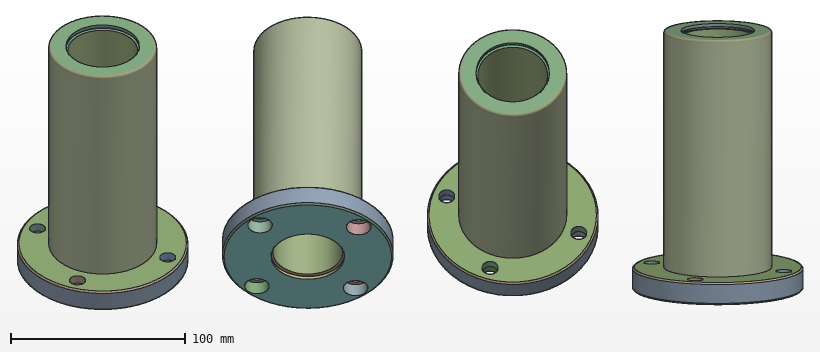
import cadquery as cq

total_height = 151.0
flange_diameter = 98.0
flange_thickness = 13.0
flange_chamfer = 1.0
tube_diameter = 62.0
tube_fillet = 1.5

bore_diameter = 40.0
lip_diameter = 42.0
lip_length = 2.0
groove_diameter = 44.0
groove_width = 1.0

hole_diameter = 9.0
hole_circle_diameter = 80.0
hole_count = 4
counterbore_diameter = 14.0
counterbore_depth = 8.0


def cylinder(diameter, bottom, height):
    """Cylinder on the Z axis, starting at the given height."""
    return cq.Workplane("XY").workplane(offset=bottom).circle(diameter / 2).extrude(height)


def hole_pattern(diameter, depth):
    """Ring of cylinders rising from the underside, on the X and Y axes."""
    return (
        cq.Workplane("XY")
        .polarArray(hole_circle_diameter / 2, 0, 360, hole_count)
        .circle(diameter / 2)
        .extrude(depth)
    )


flange = cylinder(flange_diameter, 0, flange_thickness).edges("%CIRCLE").chamfer(flange_chamfer)
tube = cylinder(tube_diameter, 0, total_height).edges(">Z").fillet(tube_fillet)
body = flange.union(tube)

body = body.cut(cylinder(bore_diameter, 0, total_height))

lower_lip = cylinder(lip_diameter, 0, lip_length)
lower_groove = cylinder(groove_diameter, lip_length, groove_width)
for lower_cut in (lower_lip, lower_groove):
    upper_cut = lower_cut.mirror("XY", (0, 0, total_height / 2))
    body = body.cut(lower_cut).cut(upper_cut)

body = body.cut(hole_pattern(hole_diameter, flange_thickness))
body = body.cut(hole_pattern(counterbore_diameter, counterbore_depth))

result = body